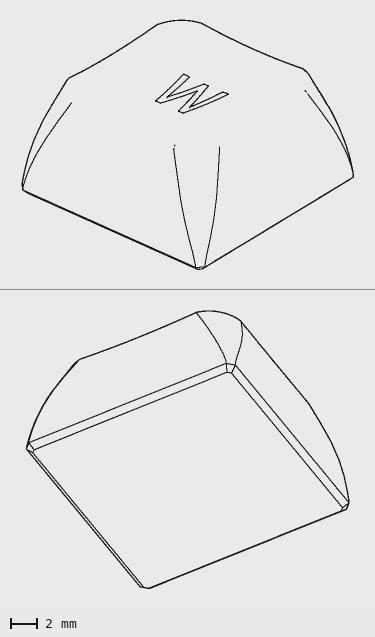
import cadquery as cq
import math

BASE_SIZE = 18.0
BASE_CHAMFER = 0.45
SKIRT_HEIGHT = 0.65
UPRIGHT_HEIGHT = 1.98
WALL_BEND_RADIUS = 14.4
WALL_LEAN = 18.4
BLANK_HEIGHT = 10.08
SECTION_COUNT = 8

BASE_CORNER_CUT = 0.5
SIDE_SHORTENING = 4.18
SHORTENING_POWER = 1.2
TOP_CORNER_SWEEP = 70.0
TOP_SIDE_BOW = 0.07

DISH_RADIUS = 31.14
DISH_FLOOR = 7.81
RIM_FILLET = 0.5

LEGEND_HEIGHT = 4.21
LEGEND_HALF_WIDTH = 2.21
LEGEND_ARM_WIDTH = 0.58
LEGEND_PEAK_HALF_WIDTH = 0.22
LEGEND_FOOT_CENTRE = 1.12
LEGEND_FOOT_HALF_WIDTH = 0.23
LEGEND_NOTCH_TIP = 1.0
LEGEND_FLOOR = 7.2


def wall_inset(height):
    """How far the walls have moved inwards at a height."""
    lean = math.radians(WALL_LEAN)
    bend_height = WALL_BEND_RADIUS * math.sin(lean)
    rise = max(height - UPRIGHT_HEIGHT, 0)
    if rise < bend_height:
        return WALL_BEND_RADIUS - math.sqrt(WALL_BEND_RADIUS**2 - rise**2)
    bend_inset = WALL_BEND_RADIUS * (1 - math.cos(lean))
    return bend_inset + (rise - bend_height) * math.tan(lean)


def quarter_turned(point, turns):
    for _ in range(turns):
        point = (-point[1], point[0], point[2])
    return point


def arc_or_line(start, middle, end, is_straight):
    if is_straight:
        return cq.Edge.makeLine(cq.Vector(start), cq.Vector(end))
    return cq.Edge.makeThreePointArc(cq.Vector(start), cq.Vector(middle), cq.Vector(end))


def outline(height):
    """Closed outline at a height: four bowed sides joined by four corner arcs."""
    share = max(height - SKIRT_HEIGHT, 0) / (BLANK_HEIGHT - SKIRT_HEIGHT)
    reach = BASE_SIZE / 2 - wall_inset(height)
    side_end = reach - TOP_SIDE_BOW * share
    half_side = BASE_SIZE / 2 - BASE_CORNER_CUT - SIDE_SHORTENING * share**SHORTENING_POWER
    quarter_sweep = math.radians(TOP_CORNER_SWEEP * share / 4)
    corner_bulge = (side_end - half_side) / 2 * math.tan(quarter_sweep)
    corner_middle = (side_end + half_side) / 2 + corner_bulge

    quarter = [
        (side_end, -half_side, height),
        (reach, 0, height),
        (side_end, half_side, height),
        (corner_middle, corner_middle, height),
        (half_side, side_end, height),
    ]
    edges = []
    for turns in range(4):
        low, side_middle, high, corner, next_low = [quarter_turned(point, turns) for point in quarter]
        edges.append(arc_or_line(low, side_middle, high, share == 0))
        edges.append(arc_or_line(high, corner, next_low, share == 0))
    return cq.Wire.assembleEdges(edges)


def make_blank():
    step = (BLANK_HEIGHT - SKIRT_HEIGHT) / (SECTION_COUNT - 1)
    outlines = [outline(SKIRT_HEIGHT + i * step) for i in range(SECTION_COUNT)]
    walls = cq.Workplane(cq.Solid.makeLoft(outlines))
    skirt = cq.Workplane(cq.Solid.extrudeLinear(outline(0), [], cq.Vector(0, 0, SKIRT_HEIGHT)))
    skirt = skirt.faces("<Z").chamfer(BASE_CHAMFER)
    return walls.union(skirt)


def make_dish():
    return cq.Workplane().sphere(DISH_RADIUS).translate((0, 0, DISH_FLOOR + DISH_RADIUS))


def make_legend_prism():
    """Upright W-shaped prism, from the inlay's underside to above the dish."""
    top = LEGEND_HEIGHT / 2
    right_half = [
        (0, top - LEGEND_NOTCH_TIP),
        (LEGEND_FOOT_CENTRE - LEGEND_FOOT_HALF_WIDTH, -top),
        (LEGEND_FOOT_CENTRE + LEGEND_FOOT_HALF_WIDTH, -top),
        (LEGEND_HALF_WIDTH, top),
        (LEGEND_HALF_WIDTH - LEGEND_ARM_WIDTH, top),
        (LEGEND_FOOT_CENTRE, LEGEND_NOTCH_TIP - top),
        (LEGEND_PEAK_HALF_WIDTH, top),
    ]
    left_half = [(-x, y) for x, y in reversed(right_half[1:])]
    prism = cq.Workplane(origin=(0, 0, LEGEND_FLOOR)).polyline(right_half + left_half).close()
    return prism.extrude(BLANK_HEIGHT - LEGEND_FLOOR)


dish = make_dish()
legend_prism = make_legend_prism()

dished_blank = make_blank().cut(dish)
rounded_blank = dished_blank.faces("%SPHERE").edges().fillet(RIM_FILLET)
cap = rounded_blank.cut(legend_prism)
legend = legend_prism.cut(dish)

result = cq.Compound.makeCompound([cap.solids().val(), legend.solids().val()])